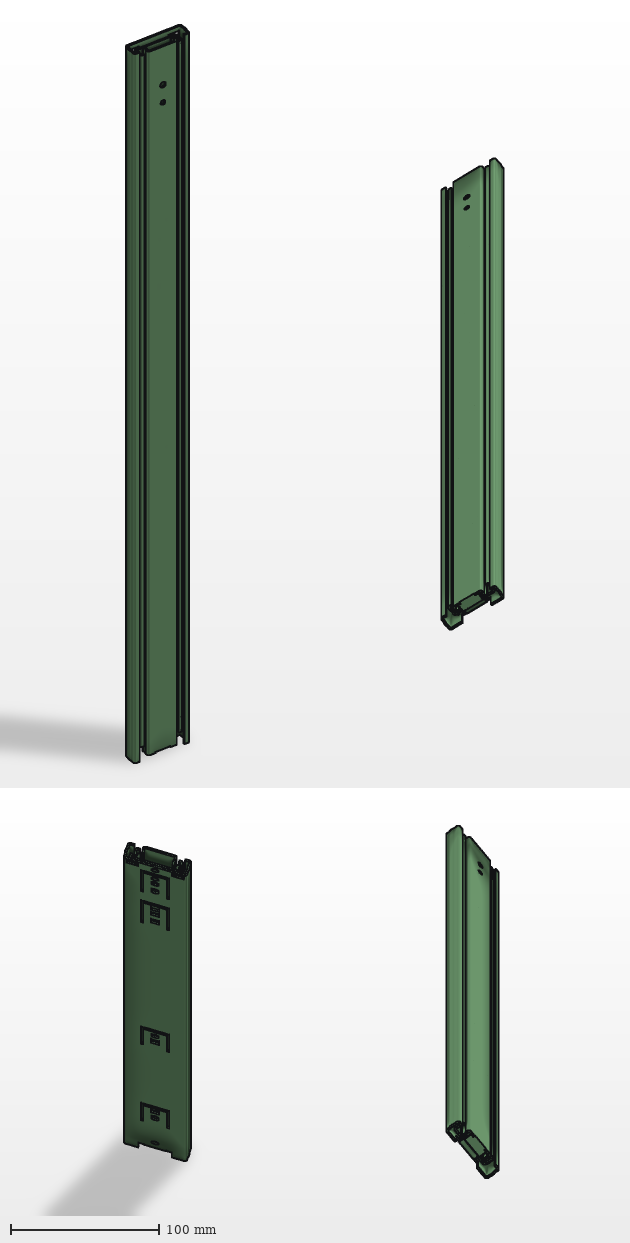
import cadquery as cq


SLIDE_LENGTH = 600.0
SLIDE_WIDTH = 45.46
SLIDE_THICKNESS = 12.7
SHEET = 1.4
CUT_MARGIN = 1.0

OUTER_GROOVE_DEPTH = 0.35
OUTER_HALF = SLIDE_WIDTH / 2 - OUTER_GROOVE_DEPTH
OUTER_DEPTH = 11.7
OUTER_RADIUS = 1.7
OUTER_LIP = 4.4
OUTER_GROOVE_AT = 5.45
OUTER_GROOVE_LENGTH = 4.2

MIDDLE_BACK = 2.6
MIDDLE_HALF = 16.9
MIDDLE_DEPTH = 8.4
MIDDLE_RADIUS = 1.7
MIDDLE_LIP = 3.0
MIDDLE_GROOVE_AT = 3.45
MIDDLE_BOTTOM = 11.0
MIDDLE_TOP = 596.0

INNER_HALF = 12.0
INNER_DEPTH = 7.4
INNER_RADIUS = 1.7
INNER_GROOVE_AT = 4.6
INNER_BOTTOM = 3.0
INNER_TOP = 598.4

RUNNING_GROOVE_DEPTH = 0.3
RUNNING_GROOVE_LENGTH = 3.0

OUTER_NOTCH_WIDTH = 23.6
OUTER_NOTCH_HEIGHT = 10.0
OUTER_STOP_WIDTH = 16.0
OUTER_STOP_THICKNESS = 2.9
OUTER_STOP_BEND = 2.6
OUTER_STOP_REACH = 7.2
INNER_NOTCH_WIDTH = 12.0
INNER_STOP_WIDTH = 16.4
INNER_STOP_TOP = 5.2
INNER_STOP_REACH = 5.2

OUTER_WEB_CUT = (-CUT_MARGIN, SHEET + CUT_MARGIN)

TONGUE_WIDTH = 16.8
TONGUE_SLOT = 1.6
TONGUE_END_GAP = 3.6
TONGUES = [(584.8, 541.2), (521.5, 476.0), (256.1, 219.9), (95.4, 59.2)]

SQUARE_HOLE_WIDTH = 6.0
SQUARE_HOLES = [(510.6, 4.4), (500.6, 6.0), (485.3, 7.6), (232.2, 7.6), (84.9, 6.0)]
ROUND_SLOT_WIDTH = 5.2
ROUND_SLOTS = [(564.8, 7.0), (549.4, 9.0), (244.8, 6.8), (72.3, 8.8)]
DIMPLES = [592.8, 574.7, 19.9]
DIMPLE_DIAMETER = 5.2
DIMPLE_HOLE = 2.6
SCREW_HOLES = [(566.0, 4.6), (551.0, 3.8)]

CORNER_SLOT_NEAR = 11.8
CORNER_SLOT_FAR = 20.4
CORNER_SLOT_HEIGHT = 4.0
CORNER_SLOT_Z = 594.0

OUTER_RETAINER = (3.0, 8.0, 18.4, 19.9)
INNER_RETAINER = (6.0, 9.4, 12.4, 15.1)
RETAINER_SPAN = (20.0, 590.0)


def channel(half, depth, radius, lip, groove_at, groove_length, groove_depth, bottom, top):
    """C channel with its web on X = 0; a positive groove depth bulges the flanges outwards."""
    inside = half - SHEET
    bend = radius - SHEET
    groove_start = groove_at - groove_length / 2
    groove_end = groove_at + groove_length / 2
    profile = (
        cq.Workplane("XY", origin=(0, 0, bottom))
        .lineTo(0, half - radius)
        .radiusArc((radius, half), radius)
        .lineTo(groove_start, half)
        .threePointArc((groove_at, half + groove_depth), (groove_end, half))
    )
    if lip:
        profile = (
            profile.lineTo(depth - radius, half)
            .radiusArc((depth, half - radius), radius)
            .lineTo(depth, half - lip)
            .lineTo(depth - SHEET, half - lip)
            .lineTo(depth - SHEET, half - radius)
            .radiusArc((depth - radius, inside), -bend)
        )
    else:
        profile = profile.lineTo(depth, half).lineTo(depth, inside)
    half_channel = (
        profile.lineTo(groove_end, inside)
        .threePointArc((groove_at, inside + groove_depth), (groove_start, inside))
        .lineTo(radius, inside)
        .radiusArc((SHEET, half - radius), -bend)
        .lineTo(SHEET, 0)
        .close()
        .extrude(top - bottom)
    )
    return half_channel.union(half_channel.mirror("XZ"))


def block(x_range, y_range, z_range):
    """Box between the given limits."""
    sizes = [high - low for low, high in (x_range, y_range, z_range)]
    corner = (x_range[0], y_range[0], z_range[0])
    return cq.Workplane("XY").box(*sizes, centered=False).translate(corner)


def centred_block(x_range, width, z_range):
    """Box of the given Y width, centred on Y = 0."""
    return block(x_range, (-width / 2, width / 2), z_range)


def web_holes(z, diameter):
    """Round cutter through every web at the given height."""
    return (
        cq.Workplane("YZ", origin=(-CUT_MARGIN, 0, z))
        .circle(diameter / 2)
        .extrude(SLIDE_THICKNESS + 2 * CUT_MARGIN)
    )


def tongue_slot(top, bottom):
    """U-shaped slot that frees a tongue on three sides."""
    slot = centred_block(OUTER_WEB_CUT, TONGUE_WIDTH + 2 * TONGUE_SLOT, (bottom, top))
    tongue = centred_block(OUTER_WEB_CUT, TONGUE_WIDTH, (bottom, top - TONGUE_END_GAP))
    return slot.cut(tongue)


def outer_member():
    """Fixed rail with lanced tongues, holes and a bottom stop."""
    body = channel(
        OUTER_HALF, OUTER_DEPTH, OUTER_RADIUS, OUTER_LIP,
        OUTER_GROOVE_AT, OUTER_GROOVE_LENGTH, OUTER_GROOVE_DEPTH, 0, SLIDE_LENGTH,
    )
    body = body.cut(centred_block(OUTER_WEB_CUT, OUTER_NOTCH_WIDTH, (-CUT_MARGIN, OUTER_NOTCH_HEIGHT)))
    stop = centred_block(
        (0, OUTER_STOP_REACH),
        OUTER_STOP_WIDTH,
        (OUTER_NOTCH_HEIGHT - OUTER_STOP_THICKNESS, OUTER_NOTCH_HEIGHT),
    )
    body = body.union(stop.edges("<X and <Z").fillet(OUTER_STOP_BEND))
    for top, bottom in TONGUES:
        body = body.cut(tongue_slot(top, bottom))
    for z, height in SQUARE_HOLES:
        body = body.cut(centred_block(OUTER_WEB_CUT, SQUARE_HOLE_WIDTH, (z - height / 2, z + height / 2)))
    for z, height in ROUND_SLOTS:
        body = body.cut(
            cq.Workplane("YZ", origin=(-CUT_MARGIN, 0, z))
            .slot2D(height, ROUND_SLOT_WIDTH, 90)
            .extrude(SHEET + 2 * CUT_MARGIN)
        )
    for z in DIMPLES:
        rim = cq.Workplane("YZ", origin=(0, 0, z)).circle(DIMPLE_DIAMETER / 2)
        body = body.cut(rim.workplane(offset=SHEET).circle(DIMPLE_HOLE / 2).loft())
    for side in (1, -1):
        near, far = sorted((side * CORNER_SLOT_NEAR, side * CORNER_SLOT_FAR))
        z_range = (CORNER_SLOT_Z - CORNER_SLOT_HEIGHT / 2, CORNER_SLOT_Z + CORNER_SLOT_HEIGHT / 2)
        body = body.cut(block(OUTER_WEB_CUT, (near, far), z_range))
    return body


def middle_member():
    """Intermediate rail with access holes in its web."""
    body = channel(
        MIDDLE_HALF, MIDDLE_DEPTH, MIDDLE_RADIUS, MIDDLE_LIP, MIDDLE_GROOVE_AT,
        RUNNING_GROOVE_LENGTH, -RUNNING_GROOVE_DEPTH, MIDDLE_BOTTOM, MIDDLE_TOP,
    ).translate((MIDDLE_BACK, 0, 0))
    for z, diameter in SCREW_HOLES:
        body = body.cut(web_holes(z, diameter))
    return body


def inner_member():
    """Moving rail, opening towards the outer member, with a bottom stop."""
    body = (
        channel(
            INNER_HALF, INNER_DEPTH, INNER_RADIUS, 0, INNER_GROOVE_AT,
            RUNNING_GROOVE_LENGTH, -RUNNING_GROOVE_DEPTH, INNER_BOTTOM, INNER_TOP,
        )
        .mirror("YZ")
        .translate((SLIDE_THICKNESS, 0, 0))
    )
    web_back = SLIDE_THICKNESS - SHEET
    body = body.cut(
        centred_block((web_back, SLIDE_THICKNESS), INNER_NOTCH_WIDTH, (INNER_BOTTOM, INNER_STOP_TOP - SHEET))
    )
    stop = centred_block(
        (INNER_STOP_REACH, SLIDE_THICKNESS), INNER_STOP_WIDTH, (INNER_STOP_TOP - SHEET, INNER_STOP_TOP)
    )
    body = body.union(stop)
    for z, diameter in SCREW_HOLES:
        body = body.cut(web_holes(z, diameter))
    return body


def retainers(section):
    """Pair of ball retainer strips, one on each side."""
    x_from, x_to, y_from, y_to = section
    return [
        block((x_from, x_to), sorted((side * y_from, side * y_to)), RETAINER_SPAN).val()
        for side in (1, -1)
    ]


outer = outer_member()
middle = middle_member()
inner = inner_member()
outer_retainers = retainers(OUTER_RETAINER)
inner_retainers = retainers(INNER_RETAINER)

result = cq.Compound.makeCompound(
    [outer.val(), middle.val(), inner.val(), *outer_retainers, *inner_retainers]
)